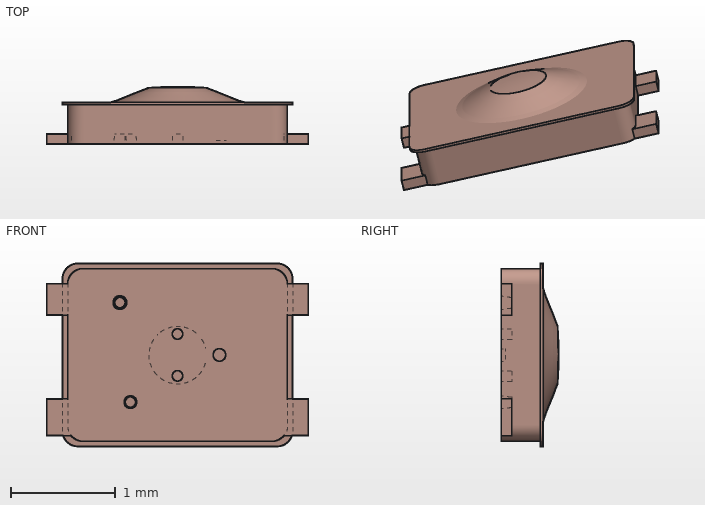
import cadquery as cq

BODY_WIDTH = 2.1
BODY_HEIGHT = 1.65
BODY_DEPTH = 0.375
CORNER_RADIUS = 0.15

FLANGE_OVERHANG = 0.05
FLANGE_THICKNESS = 0.025
FLANGE_WIDTH = BODY_WIDTH + 2 * FLANGE_OVERHANG
FLANGE_HEIGHT = BODY_HEIGHT + 2 * FLANGE_OVERHANG
FLANGE_FACE = BODY_DEPTH + FLANGE_THICKNESS

TOTAL_DEPTH = 0.55
CROWN_DIAMETER = 0.55
CROWN_RISE = 0.01
CROWN_RIM_Y = TOTAL_DEPTH - CROWN_RISE
CROWN_RADIUS = ((CROWN_DIAMETER / 2) ** 2 + CROWN_RISE**2) / (2 * CROWN_RISE)
CONE_TOP_DIAMETER = 0.774
CONE_TOP_Y = 0.497
CONE_BASE_DIAMETER = 1.154
CONE_BASE_Y = 0.42
DOME_BASE_DIAMETER = 1.284

OVERALL_WIDTH = 2.5
TERMINAL_THICKNESS = 0.1
UPPER_TERMINAL = (0.38, 0.68)
LOWER_TERMINAL = (-0.77, -0.42)

DEEP_HOLE_DEPTH = 0.1
SHALLOW_HOLE_DEPTH = 0.04
PIN_HOLE_DIAMETER = 0.1
PIN_HOLE_Z = 0.2
SHALLOW_HOLE_DIAMETER = 0.12
SHALLOW_HOLE_X = 0.4
TAPERED_HOLE_FLOOR_DIAMETER = 0.1
UPPER_TAPERED_HOLE_DIAMETER = 0.13
UPPER_TAPERED_HOLE_CENTER = (-0.55, 0.5)
LOWER_TAPERED_HOLE_DIAMETER = 0.12
LOWER_TAPERED_HOLE_CENTER = (-0.45, -0.45)


def rounded_plate(width, height, start_y, depth):
    """Rounded rectangle in XZ, extruded from start_y toward +Y."""
    return (
        cq.Workplane("XZ", origin=(0, start_y, 0))
        .rect(width, height)
        .extrude(-depth)
        .edges("|Y")
        .fillet(CORNER_RADIUS)
    )


def dome():
    """Button dome revolved about the Y axis, standing on the flange face."""
    return (
        cq.Workplane("XY")
        .moveTo(0, FLANGE_FACE)
        .lineTo(DOME_BASE_DIAMETER / 2, FLANGE_FACE)
        .lineTo(CONE_BASE_DIAMETER / 2, CONE_BASE_Y)
        .lineTo(CONE_TOP_DIAMETER / 2, CONE_TOP_Y)
        .lineTo(CROWN_DIAMETER / 2, CROWN_RIM_Y)
        .radiusArc((0, TOTAL_DEPTH), -CROWN_RADIUS)
        .close()
        .revolve(360, (0, 0), (0, 1))
    )


def terminal_pair(bottom_z, top_z):
    """Matching terminals on both sides, rooted one corner radius inside the housing."""
    inner_x = BODY_WIDTH / 2 - CORNER_RADIUS
    length = OVERALL_WIDTH / 2 - inner_x
    right = cq.Workplane("XY").box(length, TERMINAL_THICKNESS, top_z - bottom_z, centered=False)
    right = right.translate((inner_x, 0, bottom_z))
    return right.union(right.mirror("YZ"))


def back_hole(center, mouth_diameter, floor_diameter, depth):
    """Cutter for a blind round hole in the back face, straight or tapered."""
    x, z = center
    profile = (
        cq.Workplane("XY")
        .lineTo(mouth_diameter / 2, 0)
        .lineTo(floor_diameter / 2, depth)
        .lineTo(0, depth)
        .close()
    )
    return profile.revolve(360, (0, 0), (0, 1)).translate((x, 0, z))


result = rounded_plate(BODY_WIDTH, BODY_HEIGHT, 0, BODY_DEPTH)
result = result.union(rounded_plate(FLANGE_WIDTH, FLANGE_HEIGHT, BODY_DEPTH, FLANGE_THICKNESS))
result = result.union(dome())

for terminal_bottom, terminal_top in (UPPER_TERMINAL, LOWER_TERMINAL):
    result = result.union(terminal_pair(terminal_bottom, terminal_top))

for pin_hole_z in (PIN_HOLE_Z, -PIN_HOLE_Z):
    result = result.cut(
        back_hole((0, pin_hole_z), PIN_HOLE_DIAMETER, PIN_HOLE_DIAMETER, DEEP_HOLE_DEPTH)
    )

result = result.cut(
    back_hole((SHALLOW_HOLE_X, 0), SHALLOW_HOLE_DIAMETER, SHALLOW_HOLE_DIAMETER, SHALLOW_HOLE_DEPTH)
)

for hole_center, mouth in (
    (UPPER_TAPERED_HOLE_CENTER, UPPER_TAPERED_HOLE_DIAMETER),
    (LOWER_TAPERED_HOLE_CENTER, LOWER_TAPERED_HOLE_DIAMETER),
):
    result = result.cut(back_hole(hole_center, mouth, TAPERED_HOLE_FLOOR_DIAMETER, DEEP_HOLE_DEPTH))